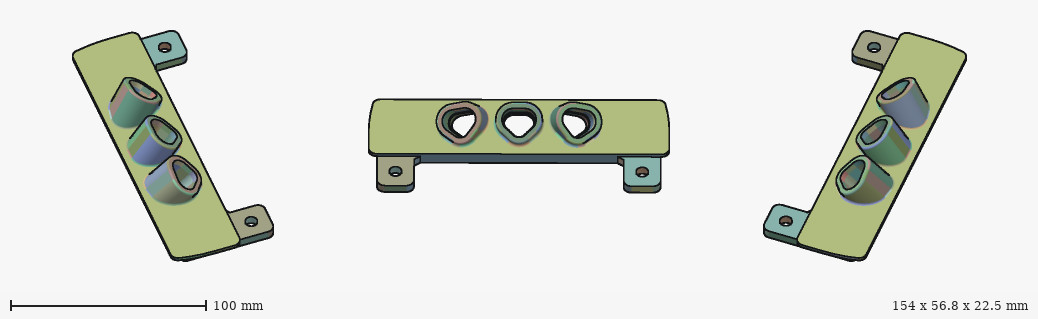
import cadquery as cq
import math

plate_length = 154.0
plate_depth = 37.0
plate_thickness = 2.0
plate_corner_radius = 4.0
plate_taper_start = 21.4
plate_side_radius = 84.7

body_width = 145.4
body_height = 5.1
body_front = 5.5
body_corner_radius = 2.5
corner_step_width = 4.8
corner_step_depth = 0.54
step_slope_width = 3.7
tab_width = 19.1
tab_end = 56.8
tab_corner_radius = 4.0
tab_root_width = 3.1
tab_root_depth = 2.0
screw_hole_diameter = 6.3
screw_hole_edge_distance = 9.7

tube_back_tilt = 35.0
side_tube_lean = 15.0
side_tube_spacing = 30.8
rim_y = 22.3
middle_rim_height = 17.1
side_rim_height = 16.6
rim_fillet = 1.0
base_fillet = 1.0

front_flat_width = 6.0
tube_width = 24.0
tube_height = 21.4
apex_arc_radius = 7.5
side_arc_radius = (tube_width - front_flat_width) / 2
apex_arc_offset = tube_height - side_arc_radius - apex_arc_radius

mouth_wall = 3.2
bore_step = 0.54
socket_wall = mouth_wall + bore_step
passage_wall = socket_wall + bore_step
mouth_depth = 3.1
socket_depth = 12.6

tube_length = 30.8
bore_length = 58.5

plate_top = body_height + plate_thickness


def plate_side_inset(run):
    """Inward shift of the side arc at a given distance in front of its tangent point."""
    return plate_side_radius - math.sqrt(plate_side_radius**2 - run**2)


def make_plate():
    half = plate_length / 2
    mid_y = plate_taper_start / 2
    inset = plate_side_inset(plate_taper_start)
    mid_inset = plate_side_inset(plate_taper_start - mid_y)
    return (
        cq.Workplane("XY")
        .workplane(offset=body_height)
        .moveTo(-half, plate_depth)
        .lineTo(half, plate_depth)
        .lineTo(half, plate_taper_start)
        .threePointArc((half - mid_inset, mid_y), (half - inset, 0))
        .lineTo(inset - half, 0)
        .threePointArc((mid_inset - half, mid_y), (-half, plate_taper_start))
        .close()
        .extrude(plate_thickness)
        .edges("|Z and (<Y or >Y)")
        .fillet(plate_corner_radius)
    )


def make_body():
    half = body_width / 2
    tab_inner = half - tab_width
    step_x = half - corner_step_width
    step_y = body_front + corner_step_depth
    right_side = [
        (step_x - step_slope_width, body_front),
        (step_x, step_y),
        (half, step_y),
        (half, tab_end),
        (tab_inner, tab_end),
        (tab_inner, plate_depth + tab_root_depth),
        (tab_inner - tab_root_width, plate_depth),
    ]
    left_side = [(-x, y) for x, y in reversed(right_side)]
    body = cq.Workplane("XY").polyline(right_side + left_side).close().extrude(body_height)
    body = body.edges("|Z and >Y").fillet(tab_corner_radius)
    outer_sides = body.faces("<X or >X")
    body = outer_sides.edges("|Z").edges("<Y").fillet(body_corner_radius)
    hole_x = half - tab_width / 2
    hole_y = tab_end - screw_hole_edge_distance
    screw_holes = (
        cq.Workplane("XY")
        .pushPoints([(-hole_x, hole_y), (hole_x, hole_y)])
        .circle(screw_hole_diameter / 2)
        .extrude(body_height)
    )
    return body.cut(screw_holes)


def tube_section(workplane, inset):
    """Closed tube outline on a workplane, moved inwards by the given wall thickness."""
    side_x = front_flat_width / 2
    side_r = side_arc_radius - inset
    apex_r = apex_arc_radius - inset
    centre_distance = math.hypot(side_x, apex_arc_offset)
    slope = math.atan2(apex_arc_offset, side_x) - math.asin((side_r - apex_r) / centre_distance)
    nx, ny = math.sin(slope), math.cos(slope)
    bulge_angle = -slope / 2
    bulge_x = side_x + side_r * math.cos(bulge_angle)
    bulge_y = side_r * math.sin(bulge_angle)
    shoulder = (side_x + side_r * nx, side_r * ny)
    apex_end = (apex_r * nx, apex_arc_offset + apex_r * ny)
    return (
        workplane.moveTo(-side_x, -side_r)
        .lineTo(side_x, -side_r)
        .threePointArc((bulge_x, bulge_y), shoulder)
        .lineTo(*apex_end)
        .threePointArc((0, apex_arc_offset + apex_r), (-apex_end[0], apex_end[1]))
        .lineTo(-shoulder[0], shoulder[1])
        .threePointArc((-bulge_x, bulge_y), (-side_x, -side_r))
        .close()
    )


def rim_plane(x, rim_height, lean):
    """Plane of a tube rim, with its normal pointing out of the mouth."""
    tilt = math.radians(tube_back_tilt)
    turn = math.radians(lean)
    normal = (
        math.cos(tilt) * math.sin(turn),
        math.sin(tilt),
        math.cos(tilt) * math.cos(turn),
    )
    across = (math.cos(turn), 0, -math.sin(turn))
    return cq.Plane(origin=(x, rim_y, rim_height), xDir=across, normal=normal)


def make_tube(plane):
    tube = tube_section(cq.Workplane(plane), 0).extrude(-tube_length)
    rim = tube.faces(cq.selectors.DirectionMinMaxSelector(plane.zDir))
    tube = rim.edges().fillet(rim_fillet)
    above_body = (
        cq.Workplane("XY")
        .workplane(offset=body_height)
        .rect(2 * plate_length, 2 * plate_length)
        .extrude(plate_length)
    )
    return tube.intersect(above_body)


def make_bore(plane):
    base = cq.Workplane(plane)
    mouth = tube_section(base, mouth_wall).workplane(offset=-mouth_depth)
    mouth = tube_section(mouth, socket_wall).loft(ruled=True)
    socket_start = base.workplane(offset=-mouth_depth)
    socket = tube_section(socket_start, socket_wall).extrude(mouth_depth - socket_depth)
    passage_start = base.workplane(offset=-socket_depth)
    passage = tube_section(passage_start, passage_wall).extrude(socket_depth - bore_length)
    return mouth.union(socket).union(passage)


tube_planes = [
    rim_plane(-side_tube_spacing, side_rim_height, -side_tube_lean),
    rim_plane(0, middle_rim_height, 0),
    rim_plane(side_tube_spacing, side_rim_height, side_tube_lean),
]

top = make_plate()
for tube_plane in tube_planes:
    top = top.union(make_tube(tube_plane))

joint_margin = 0.8
joint_zone = cq.selectors.BoxSelector(
    (joint_margin - plate_length / 2, joint_margin, plate_top - joint_margin / 2),
    (plate_length / 2 - joint_margin, plate_depth - joint_margin, plate_top + joint_margin / 2),
    boundingbox=True,
)
top = top.edges(joint_zone).fillet(base_fillet)

result = top.union(make_body())
for tube_plane in tube_planes:
    result = result.cut(make_bore(tube_plane))